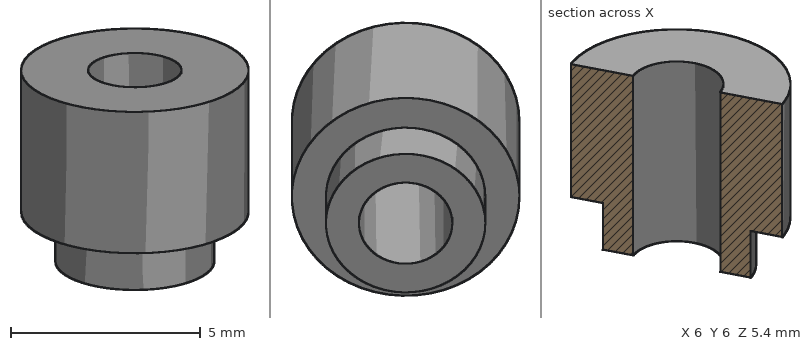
import cadquery as cq

body_diameter = 6.0
spigot_diameter = 4.2
bore_diameter = 2.46
total_height = 5.4
body_height = 4.0
spigot_height = total_height - body_height

spigot = cq.Workplane("XY").circle(spigot_diameter / 2).extrude(spigot_height)
body = (
    cq.Workplane("XY")
    .workplane(offset=spigot_height)
    .circle(body_diameter / 2)
    .extrude(body_height)
)

bore = cq.Workplane("XY").circle(bore_diameter / 2).extrude(total_height)

result = spigot.union(body).cut(bore)